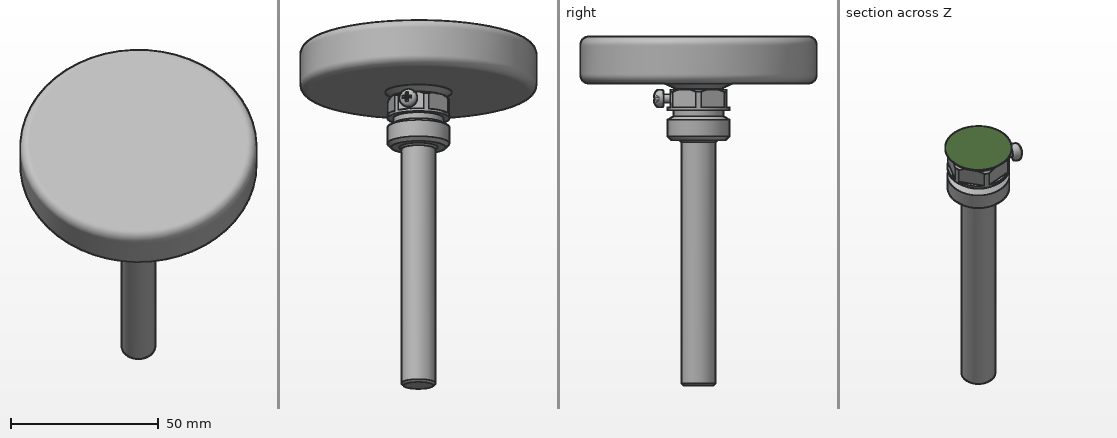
import cadquery as cq
import math

total_height = 118.0
stem_tip_z = 0.0

head_radius = 40.0
head_thickness = 15.95
head_edge_radius = 3.0
head_bottom_z = total_height - head_thickness

boss_radius = 11.3
boss_thickness = 0.1
cone_bottom_radius = 7.9
cone_height = 1.6
throat_height = 0.35
cone_top_z = head_bottom_z - boss_thickness
cone_bottom_z = cone_top_z - cone_height
hex_top_z = cone_bottom_z - throat_height

fitting_radius = 10.5
hex_across_flats = 19.0
hex_height = 6.0
hex_corner_chamfer = 0.75
flange_thickness = 1.0
flange_top_z = hex_top_z - hex_height
flange_bottom_z = flange_top_z - flange_thickness

neck_radius = 8.5
neck_height = 2.0
collar_height = 8.1
collar_top_angle = 30.0
collar_bottom_chamfer = 1.3
collar_top_z = flange_bottom_z - neck_height
collar_bottom_z = collar_top_z - collar_height
collar_shoulder_drop = (fitting_radius - neck_radius) * math.tan(math.radians(collar_top_angle))

stem_radius = 5.8
stem_root_flare = 0.7
stem_tip_chamfer = 0.8

screw_axis_z = hex_top_z - hex_height / 2
screw_shank_radius = 1.5
screw_head_radius = 3.0
screw_head_start = 11.75
screw_head_back_fillet = 0.8
screw_head_rim_length = 0.7
screw_head_shoulder_length = 1.2
screw_head_shoulder_bulge = 0.2
screw_dome_edge_radius = 2.4
screw_dome_height = 0.8
recess_radius = 1.85
recess_bottom_radius = 0.6
recess_slot_width = 0.9
recess_depth = 1.8


def make_head():
    """Flat disc with rounded upper and lower edges."""
    disc = cq.Workplane("XY").workplane(offset=head_bottom_z).circle(head_radius).extrude(head_thickness)
    return disc.edges().fillet(head_edge_radius)


def make_turned_body():
    """Boss, cone, throat, flange, neck, collar and stem turned about the Z axis."""
    profile = [
        (0, head_bottom_z),
        (boss_radius, head_bottom_z),
        (boss_radius, cone_top_z),
        (cone_bottom_radius, cone_bottom_z),
        (cone_bottom_radius, flange_top_z),
        (fitting_radius, flange_top_z),
        (fitting_radius, flange_bottom_z),
        (neck_radius, flange_bottom_z),
        (neck_radius, collar_top_z),
        (fitting_radius, collar_top_z - collar_shoulder_drop),
        (fitting_radius, collar_bottom_z + collar_bottom_chamfer),
        (fitting_radius - collar_bottom_chamfer, collar_bottom_z),
        (stem_radius + stem_root_flare, collar_bottom_z),
        (stem_radius, collar_bottom_z - stem_root_flare),
        (stem_radius, stem_tip_z + stem_tip_chamfer),
        (stem_radius - stem_tip_chamfer, stem_tip_z),
        (0, stem_tip_z),
    ]
    return cq.Workplane("XZ").polyline(profile).close().revolve(360, (0, 0), (0, 1))


def make_hexagon():
    """Hexagon with flats facing +Y and -Y, its corners turned round and chamfered on top."""
    across_corners = hex_across_flats / math.cos(math.pi / 6)
    base = cq.Workplane("XY").workplane(offset=flange_top_z)
    turned_blank = base.circle(fitting_radius).extrude(hex_height).faces(">Z").chamfer(hex_corner_chamfer)
    return base.polygon(6, across_corners).extrude(hex_height).intersect(turned_blank)


def make_recess():
    """Cross recess opening at the origin and going down -Y, its arms tapering towards the bottom."""
    tapered_plug = (
        cq.Workplane("XY")
        .lineTo(recess_radius, 0)
        .lineTo(recess_bottom_radius, -recess_depth)
        .lineTo(0, -recess_depth)
        .close()
        .revolve(360, (0, 0), (0, 1))
    )
    arm_length = 2 * recess_radius
    arm_depth = 2 * recess_depth
    arm_along_x = cq.Workplane("XY").box(arm_length, arm_depth, recess_slot_width)
    arm_along_z = cq.Workplane("XY").box(recess_slot_width, arm_depth, arm_length)
    return tapered_plug.intersect(arm_along_x.union(arm_along_z))


def make_screw():
    """Round-headed screw with a cross recess, built along +Y and then turned to face -Y."""
    rim_start = screw_head_start + screw_head_back_fillet
    rim_end = rim_start + screw_head_rim_length
    dome_start = rim_end + screw_head_shoulder_length
    head_end = dome_start + screw_dome_height
    fillet_inset = screw_head_back_fillet * (1 - math.sqrt(0.5))
    fillet_mid = (screw_head_radius - fillet_inset, screw_head_start + fillet_inset)

    shoulder_mid = (
        (screw_head_radius + screw_dome_edge_radius) / 2 + screw_head_shoulder_bulge,
        (rim_end + dome_start) / 2,
    )

    cap_radius = (screw_dome_edge_radius**2 + screw_dome_height**2) / (2 * screw_dome_height)
    cap_mid_radius = screw_dome_edge_radius / 2
    cap_mid = (cap_mid_radius, head_end - cap_radius + math.sqrt(cap_radius**2 - cap_mid_radius**2))

    screw = (
        cq.Workplane("XY")
        .lineTo(screw_shank_radius, 0)
        .lineTo(screw_shank_radius, screw_head_start)
        .lineTo(screw_head_radius - screw_head_back_fillet, screw_head_start)
        .threePointArc(fillet_mid, (screw_head_radius, rim_start))
        .lineTo(screw_head_radius, rim_end)
        .threePointArc(shoulder_mid, (screw_dome_edge_radius, dome_start))
        .threePointArc(cap_mid, (0, head_end))
        .close()
        .revolve(360, (0, 0), (0, 1))
    )
    screw = screw.cut(make_recess().translate((0, head_end, 0)))
    return screw.rotate((0, 0, 0), (0, 0, 1), 180).translate((0, 0, screw_axis_z))


result = make_head().union(make_turned_body()).union(make_hexagon()).union(make_screw())